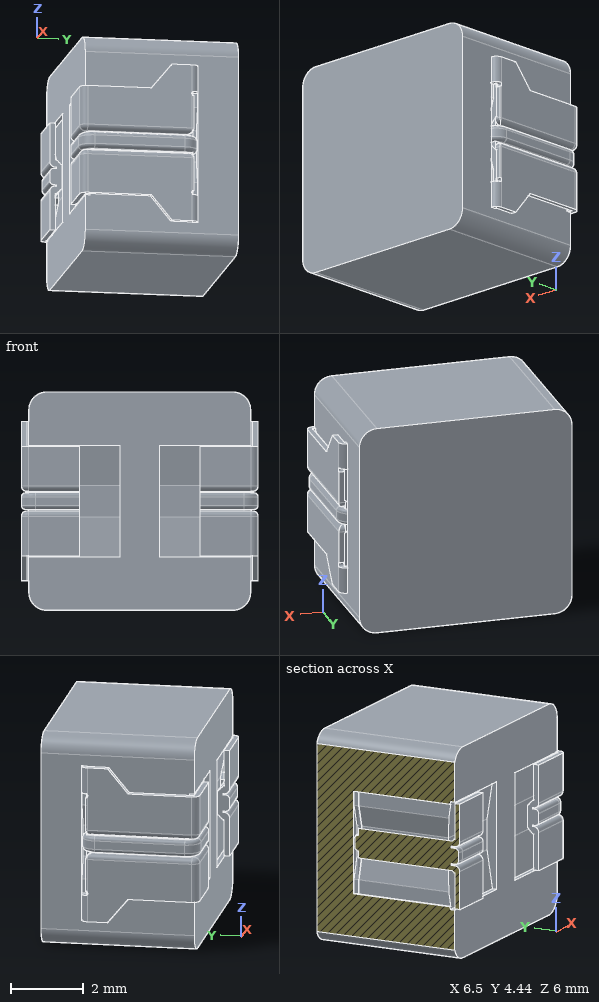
import cadquery as cq
OVERALL_WIDTH = 6.5
BODY_WIDTH = 6.1
BODY_HEIGHT = 6.0
BODY_DEPTH = 4.28
BODY_CORNER_RADIUS = 0.5

SHEET = 0.155
CLIP_BEND_RADIUS = 0.195
LEG_LENGTH = 1.6
CLIP_LENGTH = 3.295
CLIP_HEIGHT = 3.0
WING_HEIGHT = 4.38
TAPER_START = 1.96
TAPER_END = 2.535
RETURN_LENGTH = 0.52
OPEN_EDGE_HEIGHT = 2.9
OPEN_EDGE_LENGTH = 3.15
RELIEF_RADIUS = 0.06

CHANNEL_HEIGHT = 0.53
CHANNEL_DEPTH = 0.19
LIP_RADIUS = 0.15
MOUTH_CORNER_RADIUS = 0.16
BUMP_HEIGHT = 0.96
BUMP_CHAMFER = 0.16
WIRE_HEIGHT = 0.46
WIRE_BEND_RADIUS = 0.39
WIRE_EDGE_RADIUS = 0.11

FRONT_RECESS_LENGTH = 2.71
FRONT_RECESS_HEIGHT = 3.055
FRONT_FLOOR_HEIGHT = 0.87
FRONT_EDGE_DEPTH = 0.13
SIDE_SLOPE_HEIGHT = 2.1
SIDE_FLOOR_HEIGHT = 0.88
SIDE_EDGE_DEPTH = 0.065
FLOOR_DROP = 0.17

TOLERANCE = 0.0005

CLIP_X = -OVERALL_WIDTH / 2
CLIP_Y = -SHEET
BODY_X = -BODY_WIDTH / 2
OPEN_EDGE_Y = CLIP_Y + OPEN_EDGE_LENGTH
CLIP_END_Y = CLIP_Y + CLIP_LENGTH


def mirrored_outline(upper_points):
    """Close an outline from its upper half, given from one end to the other, by mirroring it in z = 0."""
    return upper_points + [(across, -z) for across, z in reversed(upper_points)]


def angle_strip(near, far, height):
    """L-shaped strip between two depths under the clip's outer skin, ending at the open edge."""
    leg_end = CLIP_X + LEG_LENGTH
    outline = [
        (leg_end, CLIP_Y + near),
        (CLIP_X + near, CLIP_Y + near),
        (CLIP_X + near, OPEN_EDGE_Y),
        (CLIP_X + far, OPEN_EDGE_Y),
        (CLIP_X + far, CLIP_Y + far),
        (leg_end, CLIP_Y + far),
    ]
    return cq.Workplane("XY").workplane(offset=-height / 2).polyline(outline).close().extrude(height)


def hooked_strip(thickness, height, bend_radius):
    """Strip flush with the clip's outer skin, with a front leg and a return that enters the body."""
    leg_end = CLIP_X + LEG_LENGTH
    return_end = CLIP_X + RETURN_LENGTH
    outline = [
        (leg_end, CLIP_Y),
        (CLIP_X, CLIP_Y),
        (CLIP_X, CLIP_END_Y),
        (return_end, CLIP_END_Y),
        (return_end, CLIP_END_Y - thickness),
        (CLIP_X + thickness, CLIP_END_Y - thickness),
        (CLIP_X + thickness, CLIP_Y + thickness),
        (leg_end, CLIP_Y + thickness),
    ]
    strip = cq.Workplane("XY").workplane(offset=-height / 2).polyline(outline).close().extrude(height)
    return strip.edges("|Z and <X").fillet(bend_radius)


def make_body():
    """Moulded block with its four long edges rounded."""
    block = cq.Workplane("XZ").rect(BODY_WIDTH, BODY_HEIGHT).extrude(-BODY_DEPTH)
    return block.edges("|Y").fillet(BODY_CORNER_RADIUS)


def front_recess():
    """Pocket in the front face, open to the side, with a floor sloping down to a flat middle."""
    edge_z = FRONT_RECESS_HEIGHT / 2
    section = mirrored_outline([
        (CLIP_Y, edge_z),
        (FRONT_EDGE_DEPTH, edge_z),
        (FRONT_EDGE_DEPTH + FLOOR_DROP, FRONT_FLOOR_HEIGHT / 2),
    ])
    return cq.Workplane("YZ").workplane(offset=CLIP_X).polyline(section).close().extrude(FRONT_RECESS_LENGTH)


def side_recess():
    """Shallow pocket in the side face with a deeper sloped channel along its middle."""
    edge_z = OPEN_EDGE_HEIGHT / 2
    edge_x = BODY_X + SIDE_EDGE_DEPTH
    section = mirrored_outline([
        (CLIP_X, edge_z),
        (edge_x, edge_z),
        (edge_x, SIDE_SLOPE_HEIGHT / 2),
        (edge_x + FLOOR_DROP, SIDE_FLOOR_HEIGHT / 2),
    ])
    return cq.Workplane("XZ").polyline(section).close().extrude(-CLIP_END_Y)


def clip_sheet():
    """Bent sheet with tapered wings, ending at an open edge between its two returns."""
    sheet = hooked_strip(SHEET, WING_HEIGHT, CLIP_BEND_RADIUS)
    side_outline = mirrored_outline([
        (CLIP_Y, CLIP_HEIGHT / 2),
        (CLIP_Y + TAPER_START, CLIP_HEIGHT / 2),
        (CLIP_Y + TAPER_END, WING_HEIGHT / 2),
        (CLIP_END_Y, WING_HEIGHT / 2),
    ])
    sheet = sheet.intersect(
        cq.Workplane("YZ").workplane(offset=CLIP_X).polyline(side_outline).close().extrude(LEG_LENGTH)
    )
    open_edge = cq.Workplane("XY").box(
        LEG_LENGTH, CLIP_LENGTH, OPEN_EDGE_HEIGHT, centered=(False, False, True)
    ).translate((CLIP_X, OPEN_EDGE_Y, 0))
    relief_z = OPEN_EDGE_HEIGHT / 2 - RELIEF_RADIUS
    reliefs = (
        cq.Workplane("YZ").workplane(offset=CLIP_X)
        .pushPoints([(OPEN_EDGE_Y, relief_z), (OPEN_EDGE_Y, -relief_z)])
        .circle(RELIEF_RADIUS).extrude(SHEET)
    )
    return sheet.cut(open_edge).cut(reliefs)


def channel_bump():
    """Trough bulging inward behind the sheet, tapered along both inner edges."""
    bump = angle_strip(SHEET, SHEET + CHANNEL_DEPTH, BUMP_HEIGHT)
    leg_y = CLIP_Y + SHEET + CHANNEL_DEPTH
    side_x = CLIP_X + SHEET + CHANNEL_DEPTH
    inner_skin = cq.selectors.BoxSelector(
        (side_x - TOLERANCE, leg_y - TOLERANCE, -BUMP_HEIGHT),
        (CLIP_X + LEG_LENGTH, OPEN_EDGE_Y, BUMP_HEIGHT),
    )
    return bump.edges("#Z").edges(inner_skin).chamfer(BUMP_CHAMFER)


def round_wire_bends(strip):
    """Round a strip's inner bends at the channel floor, concentric with the wire's outer bends."""
    floor_x = CLIP_X + CHANNEL_DEPTH
    floor_corners = cq.selectors.BoxSelector(
        (floor_x - TOLERANCE, CLIP_Y, -CHANNEL_HEIGHT),
        (floor_x + TOLERANCE, OPEN_EDGE_Y - TOLERANCE, CHANNEL_HEIGHT),
    )
    return strip.edges("|Z").edges(floor_corners).fillet(WIRE_BEND_RADIUS - CHANNEL_DEPTH)


def channel_cut():
    """Channel cut from the outer skin down to the trough floor."""
    return round_wire_bends(angle_strip(0, CHANNEL_DEPTH, CHANNEL_HEIGHT))


def skin_edges(strip, height, depth):
    """Lengthwise edges at z = +-height / 2 that lie nearer than depth to the clip's outer skin."""
    selected = []
    for edge in strip.edges("#Z").vals():
        centre = edge.Center()
        at_height = abs(abs(centre.z) - height / 2) < TOLERANCE
        skin_distance = min(centre.x - CLIP_X, centre.y - CLIP_Y, CLIP_END_Y - centre.y)
        if at_height and skin_distance < depth - TOLERANCE and edge.Length() > depth + TOLERANCE:
            selected.append(edge)
    return strip.newObject(selected)


def mouth_corners():
    """Waste outside the rounded sheet corners where the channel meets the open edge."""
    lip_z = CHANNEL_HEIGHT / 2
    corner = (
        cq.Workplane("YZ").workplane(offset=CLIP_X)
        .moveTo(OPEN_EDGE_Y, lip_z)
        .lineTo(OPEN_EDGE_Y - MOUTH_CORNER_RADIUS, lip_z)
        .radiusArc((OPEN_EDGE_Y, lip_z + MOUTH_CORNER_RADIUS), -MOUTH_CORNER_RADIUS)
        .close().extrude(CHANNEL_DEPTH)
    )
    return corner.union(corner.mirror("XY"))


def make_clip():
    """Sheet and trough, with the channel's lips and mouth corners rounded."""
    clip = clip_sheet().union(channel_bump()).cut(channel_cut())
    clip = skin_edges(clip, CHANNEL_HEIGHT, CHANNEL_DEPTH).fillet(LIP_RADIUS)
    return clip.cut(mouth_corners())


def make_wire():
    """Flat wire lying in the channel, its outer edges rounded."""
    wire = round_wire_bends(hooked_strip(CHANNEL_DEPTH, WIRE_HEIGHT, WIRE_BEND_RADIUS))
    return skin_edges(wire, WIRE_HEIGHT, CHANNEL_DEPTH).fillet(WIRE_EDGE_RADIUS)


recesses = front_recess().union(side_recess())
left_parts = make_clip().union(make_wire())
body = make_body().cut(recesses).cut(recesses.mirror("YZ"))
result = body.union(left_parts).union(left_parts.mirror("YZ"))